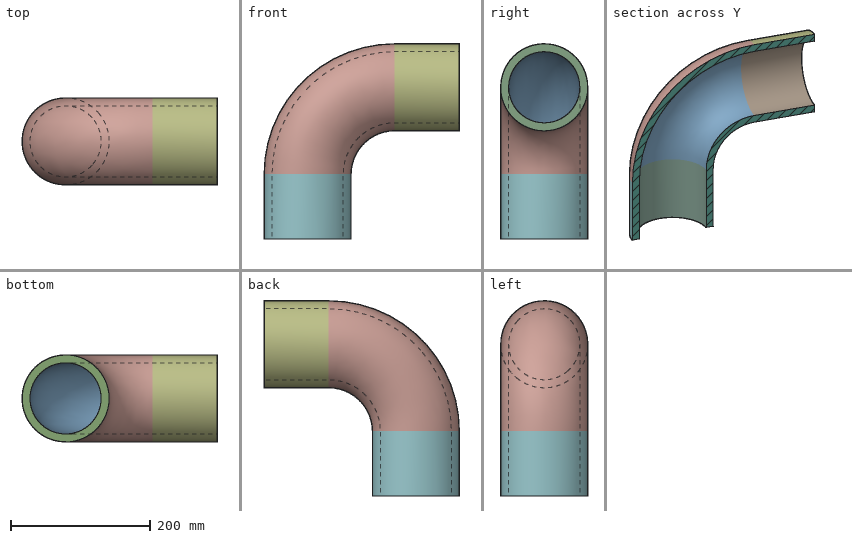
import cadquery as cq

overall_length = 280.5
outer_diameter = 125.0
bore_diameter = 102.0

bend_radius = outer_diameter
leg_length = overall_length - bend_radius - outer_diameter / 2


def elbow_solid(diameter):
    """Round bar that rises from the origin, bends 90 degrees and leaves along +X."""
    radius = diameter / 2
    vertical_leg = cq.Workplane("XY").circle(radius).extrude(leg_length)
    bend = (
        cq.Workplane("XY", origin=(0, 0, leg_length))
        .circle(radius)
        .revolve(90, (bend_radius, 0, 0), (bend_radius, 1, 0))
    )
    horizontal_leg = (
        cq.Workplane("YZ", origin=(bend_radius, 0, leg_length + bend_radius))
        .circle(radius)
        .extrude(leg_length)
    )
    return vertical_leg.union(bend).union(horizontal_leg)


result = elbow_solid(outer_diameter).cut(elbow_solid(bore_diameter))